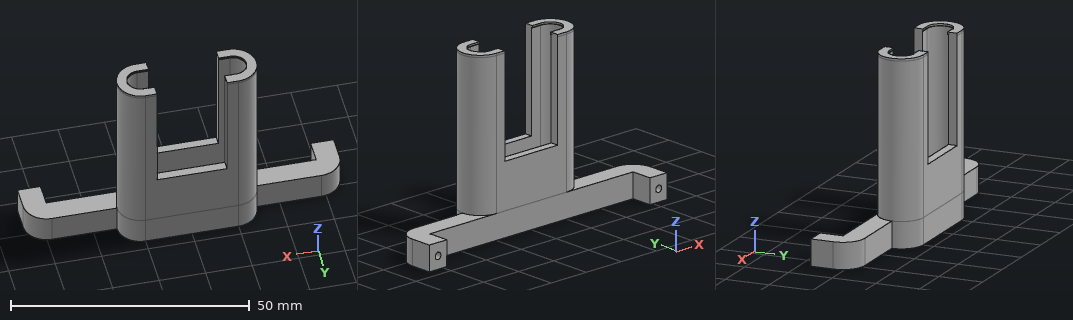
import cadquery as cq

bar_length = 68.0
bar_height = 6.0
bar_width = 5.0
leg_reach = 5.2
corner_radius = 5.0

hole_diameter = 1.6
hole_depth = leg_reach

socket_length = 30.0
socket_width = 10.0
socket_wall = 2.0
socket_top = 41.5
slot_width = 15.0
slot_floor = 17.0

rim_height = 0.5
rim_overhang = 0.2

socket_center_y = socket_width / 2
rim_bottom = socket_top - rim_height
cavity_length = socket_length - 2 * socket_wall
cavity_width = socket_width - 2 * socket_wall
mouth_length = cavity_length - 2 * rim_overhang
mouth_width = cavity_width - 2 * rim_overhang
leg_center_x = (bar_length - bar_width) / 2


def stadium(length, width, bottom, top):
    """Round-ended block centred on the socket axis, rising from bottom to top."""
    return (
        cq.Workplane("XY", origin=(0, socket_center_y, bottom))
        .slot2D(length, width)
        .extrude(top - bottom)
    )


def make_bar():
    """Cross bar with a leg at each end and rounded outer corners."""
    bar = cq.Workplane("XY").box(bar_length, bar_width, bar_height, centered=(True, False, False))
    for side in (-1, 1):
        leg = (
            cq.Workplane("XY", origin=(side * leg_center_x, -leg_reach, 0))
            .box(bar_width, leg_reach, bar_height, centered=(True, False, False))
        )
        bar = bar.union(leg)
    return bar.edges("|Z and >Y").fillet(corner_radius)


def make_screw_holes():
    """Blind holes running in +Y from the end of each leg."""
    return (
        cq.Workplane("XZ", origin=(0, -leg_reach, bar_height / 2))
        .pushPoints([(-leg_center_x, 0), (leg_center_x, 0)])
        .circle(hole_diameter / 2)
        .extrude(-hole_depth)
    )


def make_socket():
    """Hollow socket above the bar, with its inward lip and the slot through both walls."""
    tube = stadium(socket_length, socket_width, bar_height, rim_bottom)
    cavity = stadium(cavity_length, cavity_width, bar_height, rim_bottom)
    rim = stadium(socket_length, socket_width, rim_bottom, socket_top)
    mouth = stadium(mouth_length, mouth_width, rim_bottom, socket_top)
    slot = (
        cq.Workplane("XY", origin=(0, socket_center_y, slot_floor))
        .box(slot_width, socket_width, socket_top - slot_floor, centered=(True, True, False))
    )
    return tube.cut(cavity).union(rim.cut(mouth), clean=False).cut(slot, clean=False)


socket_base = stadium(socket_length, socket_width, 0, bar_height)
base = make_bar().union(socket_base).cut(make_screw_holes())
result = base.union(make_socket(), clean=False)